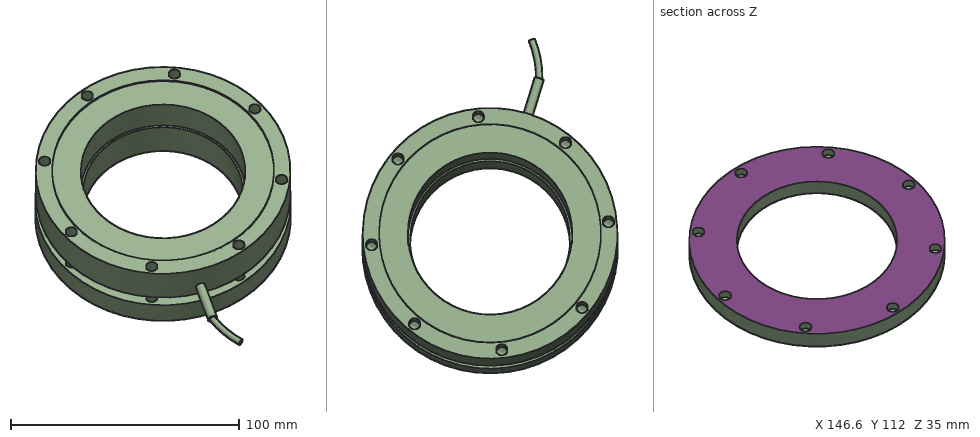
import cadquery as cq
import math

total_height = 35.0
lower_height = 11.9
upper_height = 17.9
lower_top = lower_height
upper_bottom = total_height - upper_height
gap_height = upper_bottom - lower_top

lower_diameter = 112.0
upper_diameter = 111.5
lower_bore = 70.0
upper_bore = 72.0
recess_diameter = 97.0
recess_depth = 0.7

waist_throat_radius = 41.3
waist_edge_radius = waist_throat_radius + gap_height / 2
spigot_height = 1.5
spigot_top = upper_bottom + spigot_height

hole_count = 8
hole_diameter = 5.0
hole_circle_radius = 52.0
hole_depth = 7.3
drill_point_angle = 118.0
first_hole_angle = 180.0 / hole_count

sleeve_diameter = 4.3
cable_diameter = 3.0
cable_z = 22.3
cable_bend_radius = 43.8
cable_exit_angle = 15.9
cable_end_angle = 39.0
cable_overlap_angle = 1.2
cable_reach_x = 146.6 - lower_diameter / 2

bend_center_x = (
    cable_reach_x - (cable_bend_radius + cable_diameter / 2) * math.sin(math.radians(cable_end_angle))
)
bend_center_y = cable_bend_radius * math.cos(math.radians(cable_exit_angle))
sleeve_start_x = 54.2
sleeve_end_x = bend_center_x + cable_bend_radius * math.sin(math.radians(cable_exit_angle))


def ring(outer_diameter, bore_diameter, bottom, height):
    """Plain ring about the Z axis, standing on the given level."""
    return (
        cq.Workplane("XY")
        .workplane(offset=bottom)
        .circle(outer_diameter / 2)
        .circle(bore_diameter / 2)
        .extrude(height)
    )


def drilled_holes(top):
    """Circle of blind holes with conical bottoms, entering downward at the given level."""
    radius = hole_diameter / 2
    point_depth = radius / math.tan(math.radians(drill_point_angle / 2))
    drill = (
        cq.Workplane("XZ")
        .moveTo(0, 0)
        .lineTo(radius, 0)
        .lineTo(radius, -hole_depth)
        .lineTo(0, -hole_depth - point_depth)
        .close()
        .revolve(360, (0, 0, 0), (0, 1, 0))
        .translate((hole_circle_radius, 0, top))
    )
    holes = cq.Workplane("XY")
    for index in range(hole_count):
        angle = first_hole_angle + index * 360.0 / hole_count
        holes = holes.add(drill.rotate((0, 0, 0), (0, 0, 1), angle))
    return cq.Compound.makeCompound(holes.vals())


def face_recess(bottom):
    """Shallow disc that sinks the inner part of a ring's outer face."""
    return cq.Workplane("XY").workplane(offset=bottom).circle(recess_diameter / 2).extrude(recess_depth)


def make_lower_ring():
    """Lower flange with a recessed underside, carrying the waist and its spigot."""
    waist = (
        cq.Workplane("XZ")
        .moveTo(lower_bore / 2, lower_top)
        .lineTo(waist_edge_radius, lower_top)
        .threePointArc(
            (waist_throat_radius, lower_top + gap_height / 2),
            (waist_edge_radius, upper_bottom),
        )
        .lineTo(waist_edge_radius, spigot_top)
        .lineTo(lower_bore / 2, spigot_top)
        .close()
        .revolve(360, (0, 0, 0), (0, 1, 0))
    )
    flange = ring(lower_diameter, lower_bore, 0, lower_height)
    return flange.union(waist).cut(face_recess(0)).cut(drilled_holes(lower_top))


def make_cable():
    """Straight sleeve and the thinner cable that bends out of it toward +Y."""
    sleeve = (
        cq.Workplane("YZ", origin=(sleeve_start_x, 0, cable_z))
        .circle(sleeve_diameter / 2)
        .extrude(sleeve_end_x - sleeve_start_x)
    )
    start_angle = cable_exit_angle - cable_overlap_angle
    cable = (
        cq.Workplane("YZ")
        .center(-cable_bend_radius, 0)
        .circle(cable_diameter / 2)
        .revolve(cable_end_angle - start_angle, (cable_bend_radius, 0, 0), (cable_bend_radius, 1, 0))
        .rotate((0, 0, 0), (0, 0, 1), start_angle)
        .translate((bend_center_x, bend_center_y, cable_z))
    )
    return sleeve.union(cable)


def make_upper_ring(lower_ring, cable):
    """Recessed upper ring with drilled holes, seated on the spigot and socketed for the sleeve."""
    body = ring(upper_diameter, upper_bore, upper_bottom, upper_height)
    body = body.cut(face_recess(total_height - recess_depth))
    body = body.cut(drilled_holes(total_height))
    return body.cut(lower_ring).cut(cable)


lower_ring = make_lower_ring()
cable = make_cable()
upper_ring = make_upper_ring(lower_ring, cable)

result = cq.Compound.makeCompound([lower_ring.val(), upper_ring.val(), cable.val()])